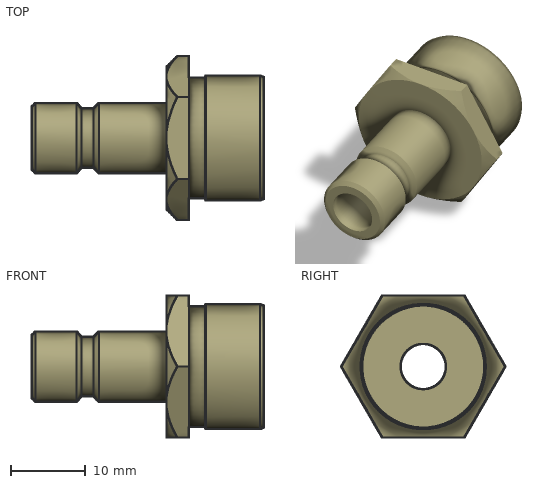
import cadquery as cq
import math

length = 31.0
tip_x = -length / 2
spigot_length = 17.98
hex_front_x = tip_x + spigot_length
hex_thickness = 3.0
hex_back_x = hex_front_x + hex_thickness
undercut_length = 2.17
thread_start_x = hex_back_x + undercut_length
end_x = tip_x + length

spigot_radius = 4.7
tip_chamfer = 0.5
groove_radius = 4.0
tip_land_length = 6.0
groove_front_x = tip_x + tip_land_length
groove_front_run = 0.62
groove_floor_width = 1.6
groove_depth = spigot_radius - groove_radius
groove_floor_start_x = groove_front_x + groove_front_run
groove_floor_end_x = groove_floor_start_x + groove_floor_width
groove_back_x = groove_floor_end_x + groove_depth

across_flats = 19.0
across_corners = across_flats / math.cos(math.radians(30))

undercut_radius = 8.1
thread_radius = 8.37
thread_lead_in = 0.12
end_chamfer_length = 0.5
end_chamfer_depth = 0.22

bore_radius = 3.0


def revolve_about_x(points):
    """Revolve an (x, radius) outline about the X axis."""
    profile = cq.Workplane("XY").polyline(points).close()
    return profile.revolve(360, (0, 0, 0), (1, 0, 0))


def make_spigot():
    return revolve_about_x([
        (tip_x, 0),
        (tip_x, spigot_radius - tip_chamfer),
        (tip_x + tip_chamfer, spigot_radius),
        (groove_front_x, spigot_radius),
        (groove_floor_start_x, groove_radius),
        (groove_floor_end_x, groove_radius),
        (groove_back_x, spigot_radius),
        (hex_back_x, spigot_radius),
        (hex_back_x, 0),
    ])


def make_hexagon():
    """Hexagon with corners on the Y axis and a 45 degree chamfer on its front."""
    prism = (
        cq.Workplane("YZ", origin=(hex_front_x, 0, 0))
        .polygon(6, across_corners)
        .extrude(hex_thickness)
    )
    flat_radius = across_flats / 2
    chamfer_cone = revolve_about_x([
        (hex_front_x, 0),
        (hex_front_x, flat_radius),
        (hex_back_x, flat_radius + hex_thickness),
        (hex_back_x, 0),
    ])
    return prism.intersect(chamfer_cone)


def make_thread_end():
    return revolve_about_x([
        (hex_front_x, 0),
        (hex_front_x, undercut_radius),
        (thread_start_x, undercut_radius),
        (thread_start_x, thread_radius - thread_lead_in),
        (thread_start_x + thread_lead_in, thread_radius),
        (end_x - end_chamfer_length, thread_radius),
        (end_x, thread_radius - end_chamfer_depth),
        (end_x, 0),
    ])


def make_bore():
    return cq.Workplane("YZ", origin=(tip_x, 0, 0)).circle(bore_radius).extrude(length)


result = make_spigot().union(make_hexagon()).union(make_thread_end()).cut(make_bore())